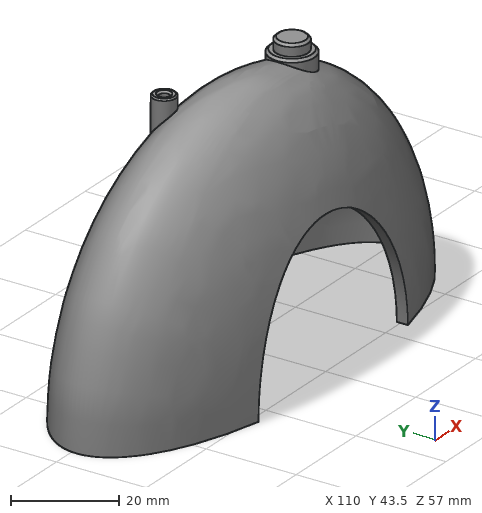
import cadquery as cq

shell_radius = 55.0
shell_half_width = 23.0
wall = 2.5

opening_half_width = 25.0
opening_height = 32.1

boss_x = 17.0
boss_radius = 5.0
boss_shoulder_z = 54.5
cap_radius = 3.5
cap_top_z = 57.0
boss_chamfer = 0.5

spout_x = -12.0
spout_y = 9.1
spout_radius = 2.5
spout_top_z = 54.3
spout_chamfer = 0.3
bore_radius = 1.1
bore_mouth_radius = 1.5
bore_depth = 4.4

post_base_z = shell_radius / 2


def half_spheroid(radius, half_width):
    """Upper half of a spheroid centred on the origin and turned about the Y axis."""
    profile = (
        cq.Workplane("XY")
        .moveTo(0, -half_width)
        .ellipseArc(radius, half_width, -90, 90, startAtCurrent=True)
        .close()
    )
    spheroid = profile.revolve(360, (0, 0, 0), (0, 1, 0))
    upper_space = cq.Workplane("XY").box(
        3 * radius, 3 * half_width, 2 * radius, centered=(True, True, False)
    )
    return spheroid.intersect(upper_space)


def post(x, y, radius, bottom_z, top_z, chamfer):
    """Upright round post with a chamfered top edge."""
    return (
        cq.Workplane("XY", origin=(x, y, bottom_z))
        .circle(radius)
        .extrude(top_z - bottom_z)
        .faces(">Z")
        .chamfer(chamfer)
    )


def spout_bore():
    """Blind bore with a countersunk mouth."""
    bore = cq.Workplane("XY", origin=(spout_x, spout_y, spout_top_z)).circle(bore_radius).extrude(-bore_depth)
    mouth_depth = bore_mouth_radius - bore_radius
    mouth = cq.Solid.makeCone(
        bore_radius,
        bore_mouth_radius,
        mouth_depth,
        pnt=cq.Vector(spout_x, spout_y, spout_top_z - mouth_depth),
    )
    return bore.union(cq.Workplane(mouth))


outer = half_spheroid(shell_radius, shell_half_width)
cavity = half_spheroid(shell_radius - wall, shell_half_width - wall)

opening = (
    cq.Workplane("XZ")
    .ellipse(opening_half_width, opening_height)
    .extrude(2 * shell_half_width)
)

boss = post(boss_x, 0, boss_radius, post_base_z, boss_shoulder_z, boss_chamfer)
cap = post(boss_x, 0, cap_radius, boss_shoulder_z, cap_top_z, boss_chamfer)
spout = post(spout_x, spout_y, spout_radius, post_base_z, spout_top_z, spout_chamfer)

result = outer.union(boss).union(cap).union(spout)
result = result.cut(cavity).cut(opening).cut(spout_bore())